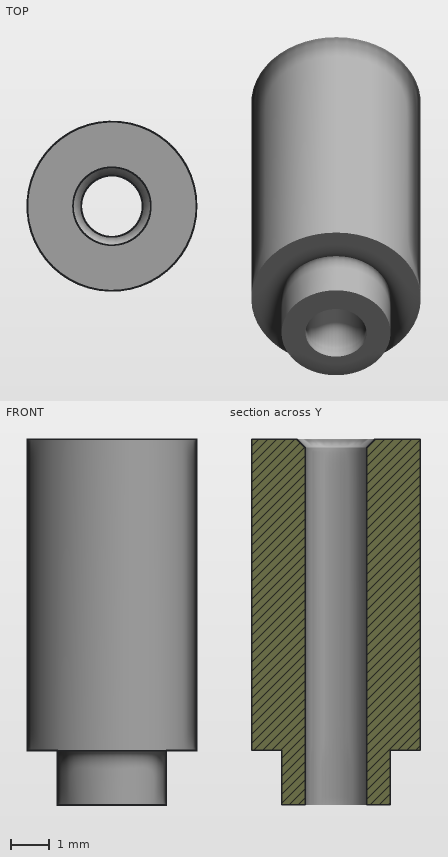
import cadquery as cq

total_height = 9.4
body_height = 8.0
body_diameter = 4.35
spigot_height = total_height - body_height
spigot_diameter = 2.8

bore_diameter = 1.57
lead_in_diameter = 2.0
lead_in_depth = (lead_in_diameter - bore_diameter) / 2

spigot = cq.Workplane("XY").circle(spigot_diameter / 2).extrude(spigot_height)
spacer = spigot.faces(">Z").workplane().circle(body_diameter / 2).extrude(body_height)

spacer = spacer.faces(">Z").workplane().hole(bore_diameter)

bore_rim = cq.selectors.RadiusNthSelector(0)
result = spacer.faces(">Z").edges(bore_rim).chamfer(lead_in_depth)